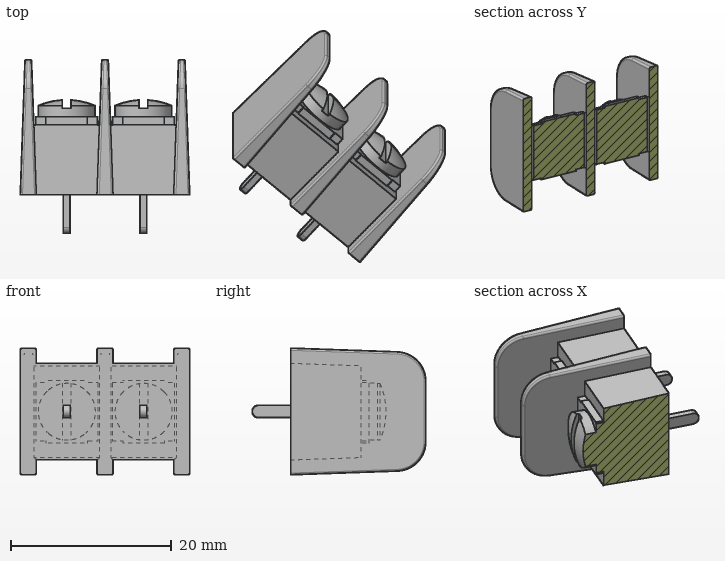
import cadquery as cq
import math


pole_count = 2
total_width = 21.07
draft_angle = 2.0
total_depth = 21.6

wall_count = pole_count + 1
wall_thickness = 2.0
pole_pitch = (total_width - wall_thickness) / pole_count
wall_height = 15.75
wall_depth = 16.8
wall_corner_radius = 3.71
wall_edge_fillet = 0.25

block_height = 12.0
block_depth = 8.68
block_width = pole_pitch * pole_count

pin_width = 0.86
pin_height = 1.55
pin_length = total_depth - wall_depth

plate_size = 7.73
plate_tongue_width = 5.18
plate_step = 0.22
plate_thickness = 1.01
head_radius = 3.55
head_rim_thickness = 1.38
dome_height = 0.73
slot_width = 1.04
slot_depth = 1.04


def centred_positions(count):
    """X positions of `count` items spaced by the pole pitch about X = 0."""
    return [(i - (count - 1) / 2) * pole_pitch for i in range(count)]


def drafted_prism(width, height, depth):
    """Rectangle on Y = 0, narrowing on all four sides toward +Y."""
    base = cq.Workplane("XZ").rect(width, height)
    return base.extrude(-depth, taper=draft_angle)


def barrier_wall():
    """Drafted wall with large rounded tip corners and softened outer edges."""
    wall = drafted_prism(wall_thickness, wall_height, wall_depth)
    wall = wall.faces(">Y").edges("|X").fillet(wall_corner_radius)
    side_edges = wall.faces("<X or >X").edges("not <Y")
    return side_edges.fillet(wall_edge_fillet)


def block():
    """Drafted block reaching into the outer walls."""
    return drafted_prism(block_width, block_height, block_depth)


def solder_pin():
    """Flat pin along -Y with a fully rounded end; it starts inside the block."""
    end_radius = pin_height / 2
    embedded = end_radius
    profile = (
        cq.Workplane("YZ")
        .moveTo(embedded, -end_radius)
        .lineTo(end_radius - pin_length, -end_radius)
        .threePointArc((-pin_length, 0), (end_radius - pin_length, end_radius))
        .lineTo(embedded, end_radius)
        .close()
    )
    return profile.extrude(pin_width / 2, both=True)


def clamp_plate():
    """Square plate whose middle stands slightly proud of its side wings."""
    plane = cq.Workplane("XZ", origin=(0, block_depth, 0))
    wings = plane.rect(plate_size, plate_size - 2 * plate_step).extrude(-plate_thickness)
    tongue = plane.rect(plate_tongue_width, plate_size).extrude(-plate_thickness)
    return wings.union(tongue)


def screw_head():
    """Domed round head with a driver slot running along Z."""
    head_base = block_depth + plate_thickness
    head_rim = head_base + head_rim_thickness
    head_top = head_rim + dome_height
    dome_radius = (head_radius**2 + dome_height**2) / (2 * dome_height)
    dome_centre = head_top - dome_radius
    mid_angle = math.asin(head_radius / dome_radius) / 2
    arc_middle = (dome_radius * math.sin(mid_angle), dome_centre + dome_radius * math.cos(mid_angle))
    head = (
        cq.Workplane("XY")
        .moveTo(0, head_base)
        .lineTo(head_radius, head_base)
        .lineTo(head_radius, head_rim)
        .threePointArc(arc_middle, (0, head_top))
        .close()
        .revolve(360, (0, 0, 0), (0, 1, 0))
    )
    slot = cq.Workplane("XY").box(slot_width, 2 * slot_depth, 2 * head_radius).translate((0, head_top, 0))
    return head.cut(slot)


result = block()
for x in centred_positions(wall_count):
    result = result.union(barrier_wall().translate((x, 0, 0)))
for x in centred_positions(pole_count):
    for piece in (solder_pin(), clamp_plate(), screw_head()):
        result = result.union(piece.translate((x, 0, 0)))